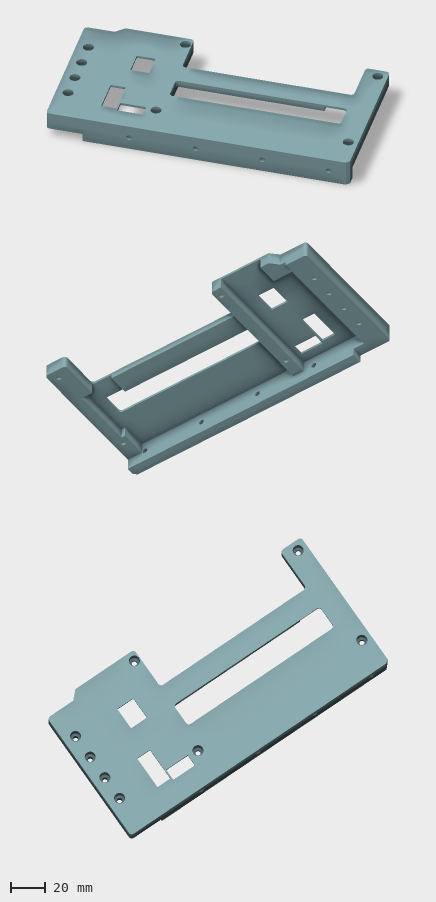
import cadquery as cq

length = 182.2
width = 90.0
height = 16.0

sheet_thickness = 1.5
sheet_bottom = height - sheet_thickness
rib_bottom = 11.7
frame_bottom = 7.7
left_wall_bottom = 5.1

left_edge_depth = 85.1
step_start_x = 18.2
lobe_right = 64.5
arm_left = 167.7
notch_front = 63.2
corner_radius = 2.0
inner_radius = 2.0
front_chamfer = 2.0

slot_front = 35.0
slot_back = 49.8

rail_width = 7.0
rail_foot_left = 21.9

left_wall_width = 14.5
middle_wall_left = 57.2
rib_right = 153.8
right_wall_left = 175.0
right_boss_left = 172.2
right_boss_back = 23.7
back_block_right = 29.2
back_block_front = 76.5

windows = [
    (36.5, 52.5, 47.7, 66.5),
    (29.2, 15.0, 38.3, 35.7),
    (39.2, 13.3, 54.5, 20.6),
]

screw_diameter = 3.1
head_diameter = 6.4
head_depth = 6.0
left_screw_x = 7.3
left_screw_first_y = 22.0
left_screw_pitch = 15.0
left_screw_count = 4
frame_screw_xs = (60.9, 176.4)
frame_screw_ys = (19.5, 84.4)

rail_hole_diameter = 3.3
rail_hole_first_x = 50.1
rail_hole_last_x = 170.0
rail_hole_count = 4
rail_hole_z = 8.0
rail_hole_pitch = (rail_hole_last_x - rail_hole_first_x) / (rail_hole_count - 1)


def block(left, front, right, back, bottom, top=height):
    """Upright box between two opposite corners and two levels."""
    size = (right - left, back - front, top - bottom)
    return cq.Workplane("XY").box(*size, centered=False).translate((left, front, bottom))


def outline_prism():
    """Plate outline over the full height, with its corners rounded."""
    step_rise = width - left_edge_depth
    points = [
        (0, 0),
        (length, 0),
        (length, width),
        (arm_left, width),
        (arm_left, notch_front),
        (lobe_right, notch_front),
        (lobe_right, width),
        (step_start_x + step_rise, width),
        (step_start_x, left_edge_depth),
        (0, left_edge_depth),
    ]
    prism = cq.Workplane("XY").polyline(points).close().extrude(height)

    def upright_edges(corners):
        picker = None
        for x, y in corners:
            nearest = cq.selectors.NearestToPointSelector((x, y, height / 2))
            picker = nearest if picker is None else picker + nearest
        return prism.edges("|Z").edges(picker)

    outer_corners = [(0, 0), (0, left_edge_depth), (lobe_right, width), (arm_left, width), (length, width)]
    prism = upright_edges(outer_corners).fillet(corner_radius)
    prism = upright_edges([(arm_left, notch_front), (lobe_right, notch_front)]).fillet(inner_radius)
    return upright_edges([(length, 0)]).chamfer(front_chamfer)


def structure():
    """Sheet, rail, walls and rib, not yet trimmed to the outline."""
    body = block(0, 0, length, width, sheet_bottom)
    members = [
        block(0, 0, length, rail_width, left_wall_bottom),
        block(rail_foot_left, 0, length, rail_width, 0, left_wall_bottom),
        block(0, 0, left_wall_width, left_edge_depth, left_wall_bottom),
        block(left_wall_width, back_block_front, back_block_right, width, frame_bottom),
        block(middle_wall_left, 0, lobe_right, width, frame_bottom),
        block(arm_left, notch_front, length, width, frame_bottom),
        block(right_wall_left, 0, length, width, frame_bottom),
        block(right_boss_left, 0, length, right_boss_back, frame_bottom),
        block(lobe_right, slot_back, rib_right, notch_front, rib_bottom),
    ]
    for member in members:
        body = body.union(member)
    return body


def cut_openings(body):
    """Long slot and rectangular windows."""
    slot = block(lobe_right, slot_front, arm_left, slot_back, 0)
    body = body.cut(slot.edges("|Z").fillet(inner_radius))
    for left, front, right, back in windows:
        body = body.cut(block(left, front, right, back, 0))
    return body


def cut_screw_holes(body):
    """Counterbored holes from the top face."""
    places = [(left_screw_x, left_screw_first_y + i * left_screw_pitch) for i in range(left_screw_count)]
    places += [(x, y) for x in frame_screw_xs for y in frame_screw_ys]
    top = cq.Workplane("XY").workplane(offset=height).pushPoints(places)
    body = body.cut(top.circle(screw_diameter / 2).extrude(-height))
    return body.cut(top.circle(head_diameter / 2).extrude(-head_depth))


def cut_rail_holes(body):
    """Row of holes running along Y through the front rail only."""
    places = [(rail_hole_first_x + i * rail_hole_pitch, rail_hole_z) for i in range(rail_hole_count)]
    holes = cq.Workplane("XZ").pushPoints(places).circle(rail_hole_diameter / 2).extrude(-rail_width)
    return body.cut(holes)


plate = structure().intersect(outline_prism())
plate = cut_openings(plate)
plate = cut_screw_holes(plate)
result = cut_rail_holes(plate)